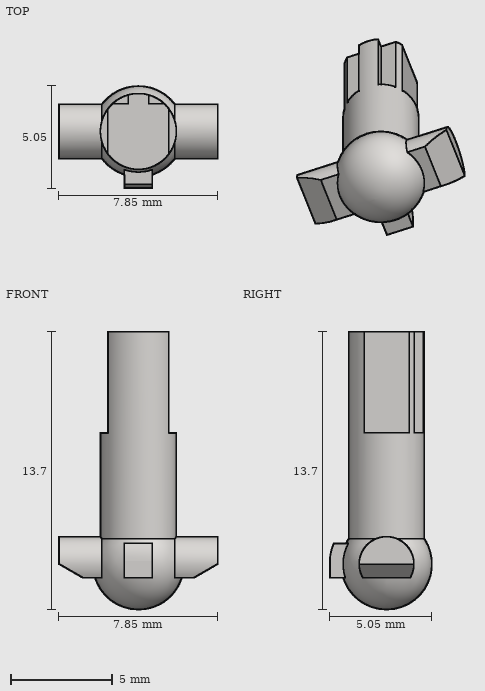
import cadquery as cq
import math

overall_height = 13.74
ball_radius = 2.25
ball_z = ball_radius

shaft_diameter = 3.75
head_height = 5.0
head_width = 3.02
head_back_y = 1.37
key_width = 1.0

pin_diameter = 2.7
pin_span = 7.85
underside_drop = 0.69
tip_slope_degrees = 30.0

tab_width = 1.37
tab_reach = 2.8
tab_top_rise = 1.02
tab_curve_start_rise = 0.15
tab_curve_radius = 2.0


def make_shaft():
    shaft_length = overall_height - ball_z
    shaft = cq.Workplane("XY").workplane(offset=ball_z).circle(shaft_diameter / 2).extrude(shaft_length)
    shaft_radius = shaft_diameter / 2
    head_bottom = overall_height - head_height
    body_depth = shaft_radius + head_back_y
    body = (
        cq.Workplane("XY")
        .workplane(offset=head_bottom)
        .center(0, head_back_y - body_depth / 2)
        .rect(head_width, body_depth)
        .extrude(head_height)
    )
    key = (
        cq.Workplane("XY")
        .workplane(offset=head_bottom)
        .center(0, shaft_radius / 2)
        .rect(key_width, shaft_radius)
        .extrude(head_height)
    )
    lower_height = head_bottom - ball_z
    lower = (
        cq.Workplane("XY")
        .workplane(offset=ball_z)
        .rect(shaft_diameter, shaft_diameter)
        .extrude(lower_height)
    )
    return shaft.intersect(lower.union(body).union(key))


def make_cross_pins():
    half_span = pin_span / 2
    pin_top = ball_z + pin_diameter / 2
    underside_z = ball_z - underside_drop
    tip_run = underside_drop / math.tan(math.radians(tip_slope_degrees))
    side_profile = [
        (-half_span, pin_top),
        (-half_span, ball_z),
        (-half_span + tip_run, underside_z),
        (half_span - tip_run, underside_z),
        (half_span, ball_z),
        (half_span, pin_top),
    ]
    envelope = cq.Workplane("XZ").polyline(side_profile).close().extrude(pin_diameter / 2, both=True)
    rod = cq.Workplane("YZ").center(0, ball_z).circle(pin_diameter / 2).extrude(half_span, both=True)
    return rod.intersect(envelope)


def make_front_tab():
    front_y = -tab_reach
    bottom_z = ball_z - underside_drop
    curve_start_z = ball_z + tab_curve_start_rise
    top_z = ball_z + tab_top_rise
    curve_angle = math.asin((top_z - curve_start_z) / tab_curve_radius)
    curve_centre_y = front_y + tab_curve_radius

    def curve_point(angle):
        return (
            curve_centre_y - tab_curve_radius * math.cos(angle),
            curve_start_z + tab_curve_radius * math.sin(angle),
        )

    return (
        cq.Workplane("YZ")
        .moveTo(0, bottom_z)
        .lineTo(front_y, bottom_z)
        .lineTo(front_y, curve_start_z)
        .threePointArc(curve_point(curve_angle / 2), curve_point(curve_angle))
        .lineTo(0, top_z)
        .close()
        .extrude(tab_width / 2, both=True)
    )


ball = cq.Workplane("XY").sphere(ball_radius).translate((0, 0, ball_z))
result = ball.union(make_shaft()).union(make_cross_pins()).union(make_front_tab())